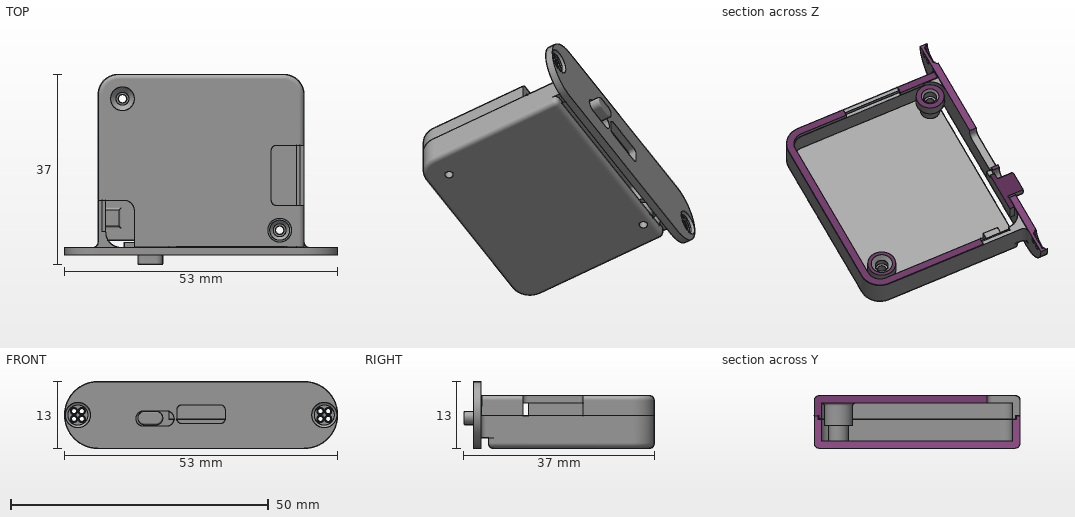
import cadquery as cq


case_width = 40.0
case_back = 35.1
case_top = 10.3
split_z = 6.4
wall = 1.5
corner_radius = 4.0
edge_fillet = 1.0
half_width = case_width / 2
inner_half_width = half_width - wall
inner_back = case_back - wall
inner_corner_radius = corner_radius - wall
front_inner_radius = 3.0
roof_underside = case_top - wall

flange_height = 13.0
flange_thickness = 1.5
flange_length = case_width + flange_height
flange_center_z = flange_height / 2
flange_root_fillet = 1.0

recess_spacing = 47.8
recess_diameter = 3.9
recess_depth = 0.8
recess_mouth_fillet = 0.5
small_hole_diameter = 1.0
small_hole_pitch = 1.5
small_hole_rim = 0.2

usb_width = 9.4
usb_height = 3.65
usb_center_z = 6.65
usb_corner_radius = 1.0
switch_slot_length = 7.4
switch_slot_height = 2.95
switch_slot_x = -8.95
switch_z = 5.8

gap_top = 2.05
floor_front = 2.9
floor_corner_radius = 1.0

groove_width = 0.7
groove_depth = 0.75
groove_front = 4.55
lip_clearance = 0.1

lid_gap = 0.1
lid_front = flange_thickness + lid_gap
battery_notch_x = -12.95
battery_notch_back = 10.65
battery_notch_radius = 2.0
cable_notch_x = 13.6
cable_notch_front = 9.65
cable_notch_back = 21.3
cable_notch_radius = 1.0

back_screw = (-15.25, 30.35)
front_screw = (15.25, 4.85)
screw_head_diameter = 4.6
screw_head_depth = 3.5
screw_clearance_diameter = 2.5
screw_pilot_diameter = 1.6
front_seat_diameter = 3.9
boss_diameter = 5.5
boss_fillet = 0.5
boss_bottom = 4.5
post_diameter = 3.8

block_length = 2.55
block_front = 5.65
block_back = 8.75
block_top = 3.5
block_fillet = 0.5

knob_length = 4.85
knob_height = 2.6
knob_z = 5.9
knob_x = -9.85
knob_protrusion = 1.85
knob_edge_fillet = 0.3
slider_length = 10.2
slider_height = 4.7
slider_thickness = 1.0
slider_notch_x = -6.2
slider_notch_z = 5.7


def block(x_range, y_range, z_range):
    """Axis-aligned box between the given limits."""
    sizes = [high - low for low, high in (x_range, y_range, z_range)]
    return cq.Workplane("XY").box(*sizes, centered=False).translate((x_range[0], y_range[0], z_range[0]))


def case_block(half_x, y_range, z_range, back_radius):
    """Case-shaped block, symmetric about X = 0, with rounded back corners."""
    return block((-half_x, half_x), y_range, z_range).edges("|Z and >Y").fillet(back_radius)


def cylinder(center, diameter, z_range):
    return cq.Workplane("XY", origin=(*center, z_range[0])).circle(diameter / 2).extrude(z_range[1] - z_range[0])


def flange_slot(x, z, length, height, y_range):
    """Round-ended bar along X that runs through the given Y range."""
    sketch = cq.Workplane("XZ", origin=(x, y_range[1], z)).slot2D(length, height)
    return sketch.extrude(y_range[1] - y_range[0])


def lip_ring(outer_half_x, outer_back, outer_radius, y_front, z_range):
    """U-shaped strip between the cavity wall and the given outer outline."""
    outer = case_block(outer_half_x, (y_front, outer_back), z_range, outer_radius)
    inner = case_block(inner_half_width, (y_front, inner_back), z_range, inner_corner_radius)
    return outer.cut(inner)


def root_fillet(side):
    """Concave fillet between the flange and one side wall; side is -1 or +1."""
    wall_x = side * half_width
    radius = flange_root_fillet
    return (
        cq.Workplane("XY", origin=(0, 0, gap_top))
        .moveTo(wall_x, flange_thickness)
        .lineTo(wall_x + side * radius, flange_thickness)
        .radiusArc((wall_x, flange_thickness + radius), side * radius)
        .close()
        .extrude(split_z - gap_top)
    )


def flared_hole(radius, rim, mouth_y, end_y):
    """Hole along +Y about the Y axis whose mouth is rounded outwards by the rim radius."""
    return (
        cq.Workplane("XY")
        .moveTo(0, mouth_y)
        .lineTo(radius + rim, mouth_y)
        .radiusArc((radius, mouth_y + rim), -rim)
        .lineTo(radius, end_y)
        .lineTo(0, end_y)
        .close()
        .revolve(360, (0, 0, 0), (0, 1, 0))
    )


def perforated_recess(x):
    """Round recess whose floor is pierced by a square of four small holes."""
    recess = flared_hole(recess_diameter / 2, recess_mouth_fillet, 0, recess_depth)
    small_hole = flared_hole(small_hole_diameter / 2, small_hole_rim, recess_depth, flange_thickness)
    offsets = (-small_hole_pitch / 2, small_hole_pitch / 2)
    for offset_x in offsets:
        for offset_z in offsets:
            recess = recess.union(small_hole.translate((offset_x, 0, offset_z)))
    return recess.translate((x, 0, flange_center_z))


def floor_block():
    """Block that grows out of the left wall, with concave fillets mitred around its foot."""
    radius = block_fillet
    fillet_top = wall + radius
    wall_x = -inner_half_width
    end_x = wall_x + block_length
    along_wall = (
        cq.Workplane("YZ", origin=(wall_x, 0, 0))
        .moveTo(block_front - radius, wall)
        .radiusArc((block_front, fillet_top), -radius)
        .lineTo(block_front, block_top)
        .lineTo(block_back, block_top)
        .lineTo(block_back, fillet_top)
        .radiusArc((block_back + radius, wall), -radius)
        .close()
        .extrude(block_length + radius)
    )
    away_from_wall = (
        cq.Workplane("XZ", origin=(0, block_back + radius, 0))
        .moveTo(wall_x, wall)
        .lineTo(wall_x, block_top)
        .lineTo(end_x, block_top)
        .lineTo(end_x, fillet_top)
        .radiusArc((end_x + radius, wall), -radius)
        .close()
        .extrude(block_back - block_front + 2 * radius)
    )
    return along_wall.intersect(away_from_wall)


def make_base():
    floor = (
        case_block(half_width, (floor_front, case_back), (0, gap_top), corner_radius)
        .edges("|Z and <Y")
        .fillet(floor_corner_radius)
        .faces("<Z")
        .edges()
        .fillet(edge_fillet)
    )
    walls = case_block(half_width, (flange_thickness, case_back), (gap_top, split_z), corner_radius)
    cavity = (
        case_block(
            inner_half_width, (flange_thickness, inner_back), (wall, split_z), inner_corner_radius
        )
        .edges("|Z and <Y")
        .fillet(front_inner_radius)
    )
    shell = floor.union(walls).cut(cavity)

    groove = lip_ring(
        inner_half_width + groove_width,
        inner_back + groove_width,
        inner_corner_radius + groove_width,
        groove_front,
        (split_z - groove_depth, split_z),
    )
    shell = shell.cut(groove)

    for center in (back_screw, front_screw):
        shell = shell.union(cylinder(center, post_diameter, (wall, boss_bottom)))
        shell = shell.cut(cylinder(center, screw_pilot_diameter, (0, boss_bottom)))

    shell = shell.union(floor_block())

    flange = flange_slot(0, flange_center_z, flange_length, flange_height, (0, flange_thickness))
    base = shell.union(flange)
    for side in (-1, 1):
        base = base.union(root_fillet(side))
        base = base.cut(perforated_recess(side * recess_spacing / 2))

    usb_opening = block(
        (-usb_width / 2, usb_width / 2),
        (0, flange_thickness),
        (usb_center_z - usb_height / 2, usb_center_z + usb_height / 2),
    ).edges("|Y").fillet(usb_corner_radius)
    switch_opening = flange_slot(
        switch_slot_x, switch_z, switch_slot_length, switch_slot_height, (0, flange_thickness)
    )
    return base.cut(usb_opening).cut(switch_opening)


def screw_bore(center, seat_diameter):
    """Deep head bore with a 45 degree seat that narrows to the clearance hole."""
    seat_z = case_top - screw_head_depth
    seat_depth = (seat_diameter - screw_clearance_diameter) / 2
    head = cylinder(center, screw_head_diameter, (seat_z, case_top))
    seat = (
        cq.Workplane("XY", origin=(*center, seat_z))
        .circle(seat_diameter / 2)
        .workplane(offset=-seat_depth)
        .circle(screw_clearance_diameter / 2)
        .loft()
    )
    shank = cylinder(center, screw_clearance_diameter, (boss_bottom, case_top))
    return head.union(seat).union(shank)


def screw_boss(center):
    """Boss below the roof that flares out where it meets the roof."""
    radius = boss_diameter / 2
    return (
        cq.Workplane("XZ", origin=(*center, 0))
        .moveTo(0, boss_bottom)
        .lineTo(radius, boss_bottom)
        .lineTo(radius, roof_underside - boss_fillet)
        .radiusArc((radius + boss_fillet, roof_underside), boss_fillet)
        .lineTo(0, roof_underside)
        .close()
        .revolve(360, (0, 0, 0), (0, 1, 0))
    )


def make_lid():
    lid = (
        case_block(half_width, (lid_front, case_back), (split_z, case_top), corner_radius)
        .faces(">Z")
        .edges("not <Y")
        .fillet(edge_fillet)
    )
    lid = lid.cut(
        case_block(inner_half_width, (lid_front, inner_back), (split_z, roof_underside), inner_corner_radius)
    )

    lip_width = groove_width - lip_clearance
    lip = lip_ring(
        inner_half_width + lip_width,
        inner_back + lip_width,
        inner_corner_radius + lip_width,
        groove_front + lip_clearance,
        (split_z - groove_depth + lip_clearance, split_z),
    )
    lid = lid.union(lip)

    for center, seat_diameter in ((back_screw, screw_head_diameter), (front_screw, front_seat_diameter)):
        lid = lid.union(screw_boss(center)).cut(screw_bore(center, seat_diameter))

    notch_z = (split_z - groove_depth, case_top)
    battery_notch = (
        block((-half_width, battery_notch_x), (lid_front, battery_notch_back), notch_z)
        .edges("|Z and >X and >Y")
        .fillet(battery_notch_radius)
    )
    cable_notch = (
        block((cable_notch_x, half_width), (cable_notch_front, cable_notch_back), notch_z)
        .edges("|Z and <X")
        .fillet(cable_notch_radius)
    )
    return lid.cut(battery_notch).cut(cable_notch)


def make_button():
    knob = (
        flange_slot(knob_x, knob_z, knob_length, knob_height, (-knob_protrusion, flange_thickness))
        .faces("<Y")
        .edges()
        .fillet(knob_edge_fillet)
    )
    slider_end = knob_x + slider_length / 2
    slider_top = knob_z + slider_height / 2
    slider_y = (flange_thickness, flange_thickness + slider_thickness)
    slider = block(
        (knob_x - slider_length / 2, slider_end), slider_y, (knob_z - slider_height / 2, slider_top)
    )
    notch = block((slider_notch_x, slider_end), slider_y, (slider_notch_z, slider_top))
    return knob.union(slider.cut(notch))


base = make_base()
lid = make_lid()
button = make_button()
result = cq.Compound.makeCompound([base.val(), lid.val(), button.val()])